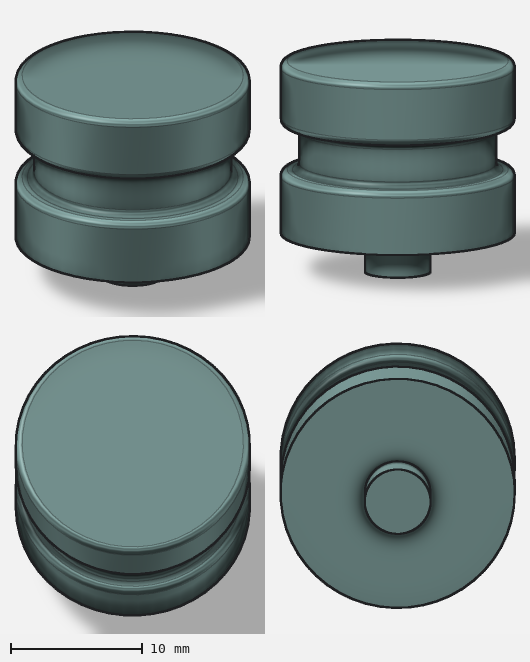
import cadquery as cq

head_diameter = 17.8
neck_diameter = 15.0
pin_diameter = 5.0
disc_height = 4.9
neck_height = 3.5
pin_length = 3.0
edge_radius = 0.5

neck_bottom = disc_height
neck_top = neck_bottom + neck_height


def cylinder(diameter, bottom, height):
    """Solid cylinder on the Z axis, standing on the given level."""
    return cq.Workplane("XY").workplane(offset=bottom).circle(diameter / 2).extrude(height)


lower_disc = cylinder(head_diameter, 0, disc_height).faces(">Z").edges().fillet(edge_radius)
upper_disc = cylinder(head_diameter, neck_top, disc_height).faces("<Z or >Z").edges().fillet(edge_radius)

neck = cylinder(neck_diameter, neck_bottom, neck_height)
knob = lower_disc.union(neck).union(upper_disc)
root_size = neck_diameter / 2 + edge_radius / 2
neck_roots = cq.selectors.BoxSelector(
    (-root_size, -root_size, neck_bottom - edge_radius / 2),
    (root_size, root_size, neck_top + edge_radius / 2),
    boundingbox=True,
)
knob = knob.edges(neck_roots).edges("%CIRCLE").fillet(edge_radius)

pin = cylinder(pin_diameter, -pin_length, pin_length)
result = knob.union(pin)